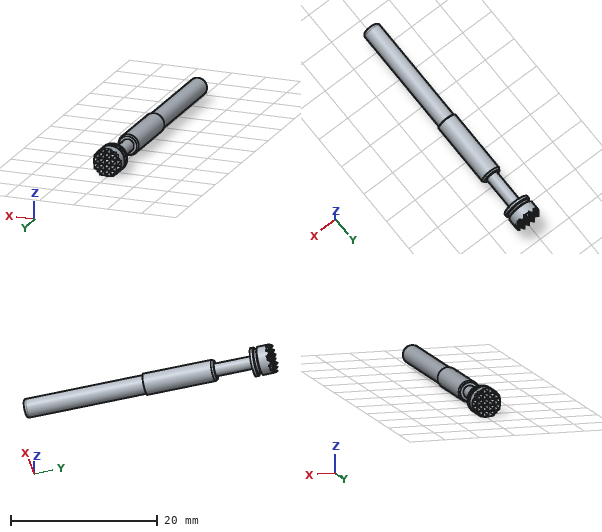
import cadquery as cq

TOTAL_LENGTH = 35.3

TUBE_DIAMETER = 2.65
TAIL_FILLET = 0.4

BARREL_DIAMETER = 3.0
BARREL_START = 16.98
BARREL_LENGTH = 10.0
BARREL_CHAMFER_LENGTH = 0.32
BARREL_CHAMFER_DEPTH = 0.18

PLUNGER_DIAMETER = 1.8

HEAD_DIAMETER = 4.0
HEAD_LENGTH = 3.0
COLLAR_THICKNESS = 0.42
COLLAR_TAPER_LENGTH = 0.07
GROOVE_DIAMETER = 3.42
GROOVE_FLOOR_WIDTH = 0.35
HEAD_TAPER_LENGTH = 0.18

TEETH_PER_ROW = 5
TOOTH_ROW_SPAN = 3.3
TOOTH_HEIGHT = 0.7
TOOTH_PITCH = TOOTH_ROW_SPAN / (TEETH_PER_ROW - 1)


def probe_body():
    """Turned body: half profile (radius, Y) revolved about the Y axis."""
    tube_radius = TUBE_DIAMETER / 2
    barrel_radius = BARREL_DIAMETER / 2
    plunger_radius = PLUNGER_DIAMETER / 2
    head_radius = HEAD_DIAMETER / 2
    groove_radius = GROOVE_DIAMETER / 2

    barrel_end = BARREL_START + BARREL_LENGTH
    head_start = TOTAL_LENGTH - HEAD_LENGTH
    collar_end = head_start + COLLAR_THICKNESS
    groove_start = collar_end + COLLAR_TAPER_LENGTH
    groove_end = groove_start + GROOVE_FLOOR_WIDTH

    profile = [
        (0, 0),
        (tube_radius, 0),
        (tube_radius, BARREL_START),
        (barrel_radius, BARREL_START),
        (barrel_radius, barrel_end - BARREL_CHAMFER_LENGTH),
        (barrel_radius - BARREL_CHAMFER_DEPTH, barrel_end),
        (plunger_radius, barrel_end),
        (plunger_radius, head_start),
        (head_radius, head_start),
        (head_radius, collar_end),
        (groove_radius, groove_start),
        (groove_radius, groove_end),
        (head_radius, groove_end + HEAD_TAPER_LENGTH),
        (head_radius, TOTAL_LENGTH),
        (0, TOTAL_LENGTH),
    ]
    body = cq.Workplane("XY").polyline(profile).close().revolve(360, (0, 0), (0, 1))
    return body.faces("<Y").edges().fillet(TAIL_FILLET)


def valley_cutter(center_x):
    """V-shaped prism along Z that cuts one valley between tooth rows."""
    valley = [
        (center_x - TOOTH_PITCH / 2, TOTAL_LENGTH),
        (center_x, TOTAL_LENGTH - TOOTH_HEIGHT),
        (center_x + TOOTH_PITCH / 2, TOTAL_LENGTH),
    ]
    return cq.Workplane("XY").polyline(valley).close().extrude(HEAD_DIAMETER, both=True)


def cut_teeth(body):
    """Cut crossing V valleys, leaving a grid of pyramids."""
    for index in range(TEETH_PER_ROW + 1):
        cutter = valley_cutter((index - TEETH_PER_ROW / 2) * TOOTH_PITCH)
        body = body.cut(cutter)
        body = body.cut(cutter.rotate((0, 0, 0), (0, 1, 0), 90))
    return body


result = cut_teeth(probe_body())